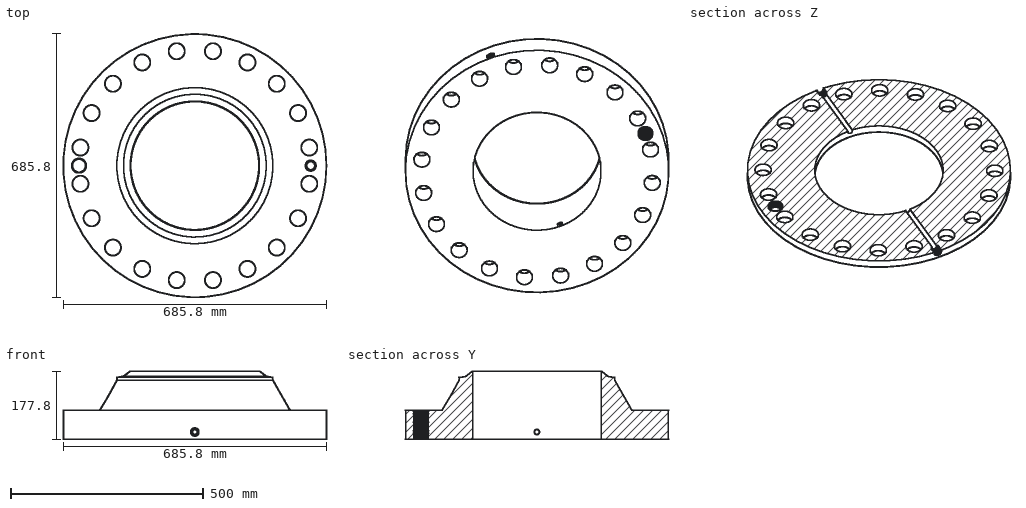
import cadquery as cq
import math

FLANGE_DIAMETER = 685.8
FLANGE_THICKNESS = 76.2
TOTAL_HEIGHT = 177.8
BORE_DIAMETER = 333.3

HUB_BASE_DIAMETER = 495.3
HUB_BASE_FILLET = 3.0
WELD_END_DIAMETER = 406.4
WELD_END_LENGTH = 7.0
ROOT_LAND = 1.6
BEVEL_OUTER_RADIUS = 186.0
BEVEL_HEIGHT = 13.5
OUTER_BEVEL_ANGLE = 10.0

BOLT_COUNT = 20
BOLT_CIRCLE_DIAMETER = 603.2
BOLT_HOLE_DIAMETER = 41.3
BOLT_PITCH_ANGLE = 360.0 / BOLT_COUNT

JACK_MAJOR_DIAMETER = 38.1
JACK_MINOR_DIAMETER = 33.8
JACK_THREAD_TURNS = 24
JACK_THREAD_PITCH = FLANGE_THICKNESS / JACK_THREAD_TURNS

RING_OUTER_DIAMETER = 28.0
RING_INNER_DIAMETER = 21.0
RING_DEPTH = 0.5

TAP_HEIGHT = 19.05
TAP_MAJOR_DIAMETER = 21.3
TAP_MINOR_DIAMETER = 18.3
TAP_THREAD_TURNS = 12
TAP_THREAD_PITCH = 1.814
TAP_DRILL_DIAMETER = 12.7


def flange_body():
    """Disc, tapered hub and bore as one revolved profile."""
    bore_radius = BORE_DIAMETER / 2
    weld_radius = WELD_END_DIAMETER / 2
    bevel_bottom = TOTAL_HEIGHT - BEVEL_HEIGHT
    outer_bevel_drop = (weld_radius - BEVEL_OUTER_RADIUS) * math.tan(math.radians(OUTER_BEVEL_ANGLE))
    weld_top = bevel_bottom - outer_bevel_drop
    profile = (
        cq.Workplane("XZ")
        .moveTo(bore_radius, 0)
        .lineTo(FLANGE_DIAMETER / 2, 0)
        .lineTo(FLANGE_DIAMETER / 2, FLANGE_THICKNESS)
        .lineTo(HUB_BASE_DIAMETER / 2, FLANGE_THICKNESS)
        .lineTo(weld_radius, weld_top - WELD_END_LENGTH)
        .lineTo(weld_radius, weld_top)
        .lineTo(BEVEL_OUTER_RADIUS, bevel_bottom)
        .lineTo(bore_radius + ROOT_LAND, TOTAL_HEIGHT)
        .lineTo(bore_radius, TOTAL_HEIGHT)
        .close()
    )
    body = profile.revolve(360, (0, 0, 0), (0, 1, 0))
    hub_base_edge = cq.selectors.RadiusNthSelector(-2)
    return body.edges("%CIRCLE").edges(hub_base_edge).fillet(HUB_BASE_FILLET)


def bolt_holes():
    """Through holes straddling the X and Y axes."""
    return (
        cq.Workplane("XY")
        .polarArray(BOLT_CIRCLE_DIAMETER / 2, BOLT_PITCH_ANGLE / 2, 360, BOLT_COUNT)
        .circle(BOLT_HOLE_DIAMETER / 2)
        .extrude(FLANGE_THICKNESS)
    )


def thread_cutter(major_diameter, minor_diameter, pitch, turns):
    """Threaded hole along +Z from the origin, its thread a stack of V-shaped ring grooves."""
    major_radius = major_diameter / 2
    minor_radius = minor_diameter / 2
    profile = cq.Workplane("XZ").lineTo(major_radius, 0)
    for turn in range(turns):
        profile = profile.lineTo(minor_radius, (turn + 0.5) * pitch)
        profile = profile.lineTo(major_radius, (turn + 1) * pitch)
    return profile.lineTo(0, turns * pitch).close().revolve(360, (0, 0, 0), (0, 1, 0))


def jack_screw_hole():
    """Threaded through hole on the bolt circle."""
    thread = thread_cutter(JACK_MAJOR_DIAMETER, JACK_MINOR_DIAMETER, JACK_THREAD_PITCH, JACK_THREAD_TURNS)
    return thread.translate((-BOLT_CIRCLE_DIAMETER / 2, 0, 0))


def ring_groove():
    """Shallow annular groove on the bolt circle, opposite the jack screw hole."""
    return (
        cq.Workplane("XY", origin=(BOLT_CIRCLE_DIAMETER / 2, 0, FLANGE_THICKNESS))
        .circle(RING_OUTER_DIAMETER / 2)
        .circle(RING_INNER_DIAMETER / 2)
        .extrude(-RING_DEPTH)
    )


def pressure_tap():
    """Radial hole from the -Y rim to the bore, threaded at its outer end."""
    thread = thread_cutter(TAP_MAJOR_DIAMETER, TAP_MINOR_DIAMETER, TAP_THREAD_PITCH, TAP_THREAD_TURNS)
    drill = cq.Workplane("XY").circle(TAP_DRILL_DIAMETER / 2).extrude(FLANGE_DIAMETER / 2)
    radial_hole = thread.union(drill).rotate((0, 0, 0), (1, 0, 0), -90)
    return radial_hole.translate((0, -FLANGE_DIAMETER / 2, TAP_HEIGHT))


tap = pressure_tap()
result = (
    flange_body()
    .cut(bolt_holes())
    .cut(jack_screw_hole())
    .cut(ring_groove())
    .cut(tap)
    .cut(tap.mirror("XZ"))
)